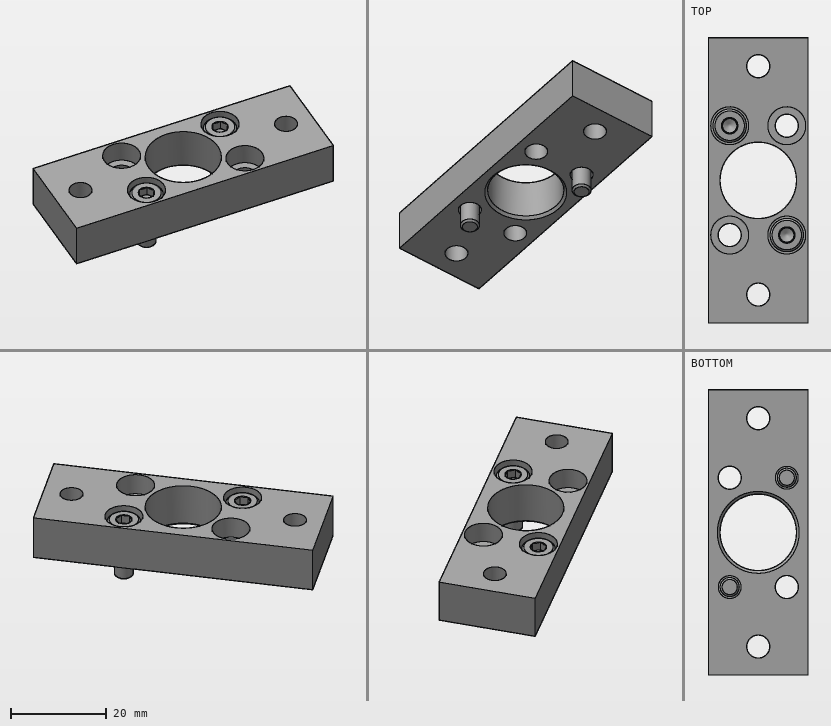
import cadquery as cq
import math

PLATE_WIDTH = 21.0
PLATE_LENGTH = 60.0
OVERALL_HEIGHT = 14.8
SCREW_PROTRUSION = 4.8
PLATE_THICKNESS = OVERALL_HEIGHT - SCREW_PROTRUSION

CENTRE_BORE_DIAMETER = 16.0
CENTRE_BORE_CHAMFER = 0.6
CLEARANCE_DIAMETER = 4.8
END_HOLE_SPACING = 48.0

SCREW_SPACING_X = 12.0
SCREW_SPACING_Y = 23.0
COUNTERBORE_DIAMETER = 8.0
COUNTERBORE_DEPTH = 4.8
SEAT_Z = PLATE_THICKNESS - COUNTERBORE_DEPTH

SHANK_DIAMETER = 4.0
TIP_CHAMFER = 0.4
HEAD_DIAMETER = 7.0
HEAD_HEIGHT = SHANK_DIAMETER
HEAD_CHAMFER = 0.4
SOCKET_ACROSS_FLATS = 3.0
SOCKET_DEPTH = 2.0
SOCKET_TIP_ANGLE = 120.0
SOCKET_LEAD_IN_ANGLE = 30.0


def make_plate():
    """Rectangular plate with a central bore chamfered underneath, end holes and counterbored screw holes."""
    plate = cq.Workplane("XY").box(
        PLATE_WIDTH, PLATE_LENGTH, PLATE_THICKNESS, centered=(True, True, False)
    )
    plate = plate.faces(">Z").workplane().hole(CENTRE_BORE_DIAMETER)
    plate = plate.faces("<Z").edges("%CIRCLE").chamfer(CENTRE_BORE_CHAMFER)
    plate = (
        plate.faces(">Z").workplane(origin=(0, 0, PLATE_THICKNESS))
        .rarray(0.6, END_HOLE_SPACING, 1, 2)
        .hole(CLEARANCE_DIAMETER)
    )
    return (
        plate.faces(">Z").workplane(origin=(0, 0, PLATE_THICKNESS))
        .rarray(SCREW_SPACING_X, SCREW_SPACING_Y, 2, 2)
        .cboreHole(CLEARANCE_DIAMETER, COUNTERBORE_DIAMETER, COUNTERBORE_DEPTH)
    )


def make_socket():
    """Cutter for the hexagonal socket: a hexagonal prism with a conical drill point and lead-in."""
    socket_radius = SOCKET_ACROSS_FLATS / 2
    corner_radius = socket_radius / math.cos(math.pi / 6)
    lead_in_height = corner_radius * math.tan(math.radians(SOCKET_LEAD_IN_ANGLE))
    cone_height = socket_radius / math.tan(math.radians(SOCKET_TIP_ANGLE / 2))
    floor_z = HEAD_HEIGHT - SOCKET_DEPTH
    hexagon = (
        cq.Workplane("XY").workplane(offset=floor_z)
        .polygon(6, 2 * corner_radius)
        .extrude(SOCKET_DEPTH)
        .rotate((0, 0, 0), (0, 0, 1), 90)
    )
    drill_point = cq.Workplane(
        cq.Solid.makeCone(
            socket_radius, 0, cone_height, pnt=cq.Vector(0, 0, floor_z), dir=cq.Vector(0, 0, -1)
        )
    )
    lead_in = cq.Workplane(
        cq.Solid.makeCone(
            corner_radius, 0, lead_in_height, pnt=cq.Vector(0, 0, HEAD_HEIGHT), dir=cq.Vector(0, 0, -1)
        )
    )
    return hexagon.union(drill_point).union(lead_in)


def make_screw(x, y):
    """Cap screw whose head rests on the counterbore floor at (x, y)."""
    head = (
        cq.Workplane("XY").circle(HEAD_DIAMETER / 2).extrude(HEAD_HEIGHT)
        .faces(">Z").edges().chamfer(HEAD_CHAMFER)
    )
    shank = (
        cq.Workplane("XY").circle(SHANK_DIAMETER / 2).extrude(-(SEAT_Z + SCREW_PROTRUSION))
        .faces("<Z").edges().chamfer(TIP_CHAMFER)
    )
    screw = head.union(shank).cut(make_socket())
    return screw.translate((x, y, SEAT_Z))


plate = make_plate()

screws = []
for side in (-1, 1):
    screw = make_screw(side * SCREW_SPACING_X / 2, -side * SCREW_SPACING_Y / 2)
    screws.append(screw.val())

result = cq.Compound.makeCompound([plate.val(), *screws])